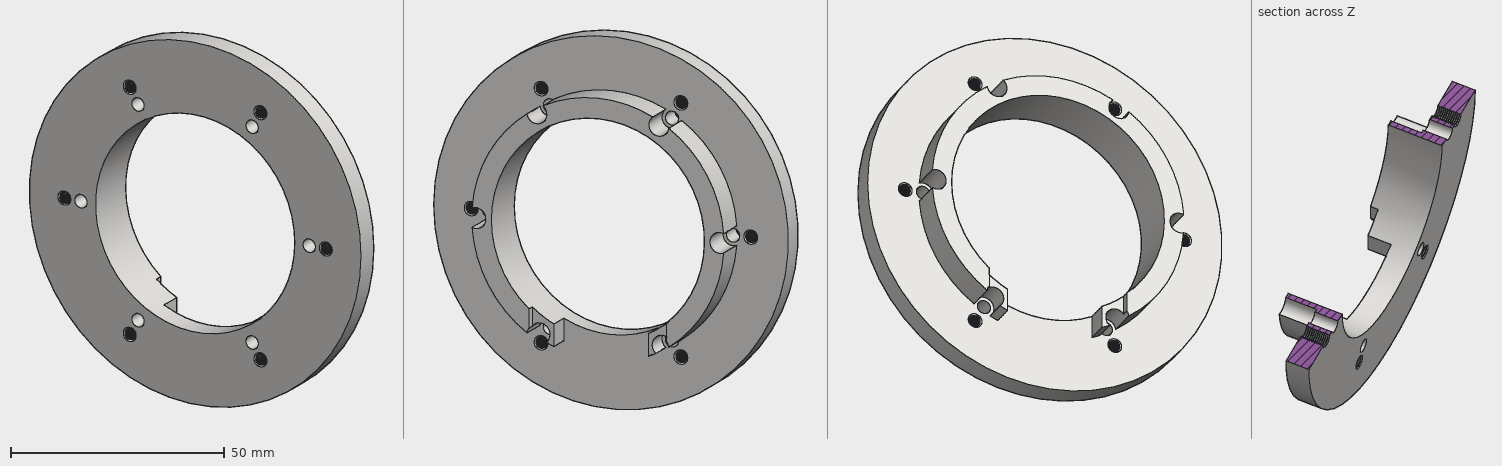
import cadquery as cq

flange_diameter = 90.0
flange_thickness = 6.0
bore_diameter = 54.0

collar_diameter = 64.0
total_depth = 14.0
collar_height = total_depth - flange_thickness

step_drop = 2.0
step_half_width = 17.5
gap_half_width = 12.0

hole_count = 6
screw_circle_radius = 31.0
screw_hole_diameter = 3.3
screw_head_diameter = 5.0
threaded_circle_radius = 35.5
thread_major_diameter = 3.5
thread_minor_diameter = 2.8
groove_count = 12


def cylinder(diameter, start, length):
    """Cylinder along +Y, centred on the part axis, from Y = start."""
    return cq.Workplane("XZ", origin=(0, start, 0)).circle(diameter / 2).extrude(-length)


def hole_ring(circle_radius, diameter, start, length):
    """Six cylinders along +Y, equally spaced on a circle, the first on the X axis."""
    return (
        cq.Workplane("XZ", origin=(0, start, 0))
        .polarArray(circle_radius, 0, 360, hole_count)
        .circle(diameter / 2)
        .extrude(-length)
    )


def bottom_opening(half_width, start):
    """Block that clears the lower side of the collar from Y = start to the back."""
    return cq.Workplane("XY").box(
        2 * half_width, total_depth - start, collar_diameter, centered=(True, False, False)
    ).translate((0, start, -collar_diameter))


def threaded_holes():
    """Six hole cutters, each a stack of V grooves from the front face to the flange back."""
    groove_pitch = flange_thickness / groove_count
    profile = [(0, 0)]
    for index in range(groove_count):
        profile.append((thread_major_diameter / 2, index * groove_pitch))
        profile.append((thread_minor_diameter / 2, (index + 0.5) * groove_pitch))
    profile.append((thread_major_diameter / 2, flange_thickness))
    profile.append((0, flange_thickness))
    cutter = (
        cq.Workplane("XY")
        .polyline(profile)
        .close()
        .revolve(360, (0, 0, 0), (0, 1, 0))
        .translate((threaded_circle_radius, 0, 0))
    )
    cutters = cq.Workplane()
    for index in range(hole_count):
        angle = index * 360 / hole_count
        cutters = cutters.add(cutter.rotate((0, 0, 0), (0, 1, 0), angle))
    return cutters.combine()


collar = cylinder(collar_diameter, flange_thickness, collar_height)
collar = collar.cut(bottom_opening(step_half_width, total_depth - step_drop))
collar = collar.cut(bottom_opening(gap_half_width, flange_thickness))
collar = collar.cut(
    hole_ring(screw_circle_radius, screw_head_diameter, flange_thickness, collar_height)
)

body = cylinder(flange_diameter, 0, flange_thickness).union(collar)
body = body.cut(cylinder(bore_diameter, 0, total_depth))
body = body.cut(hole_ring(screw_circle_radius, screw_hole_diameter, 0, flange_thickness))
result = body.cut(threaded_holes())